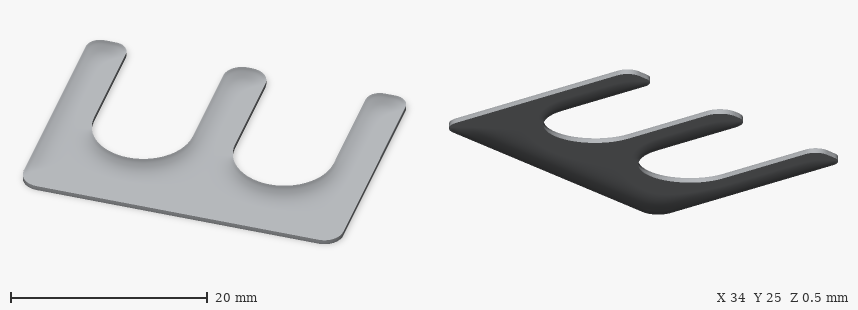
import cadquery as cq

length = 34.0
width = 25.0
thickness = 0.5

slot_width = 10.5
slot_pitch = 15.0
slot_radius = slot_width / 2
slot_centre_y = 0.0

base_corner_radius = 2.0
outer_tip_radius = 1.5
middle_tip_radius = 2.0

half_length = length / 2
half_width = width / 2
half_pitch = slot_pitch / 2
middle_finger_edge = half_pitch - slot_radius
outer_finger_edge = half_pitch + slot_radius
probe = 0.1


def make_plate():
    """Plain rectangular plate resting symmetrically about Z = 0."""
    return cq.Workplane("XY").box(length, width, thickness)


def cut_slot(body, centre_x):
    """Cut one round-ended slot that is open at the +Y edge."""
    round_end = cq.Workplane("XY").center(centre_x, slot_centre_y).circle(slot_radius)
    channel = (
        cq.Workplane("XY")
        .center(centre_x, (slot_centre_y + half_width) / 2)
        .rect(slot_width, half_width - slot_centre_y)
    )
    for profile in (round_end, channel):
        body = body.cut(profile.extrude(thickness, both=True))
    return body


def round_corner_pair(body, x, y, radius):
    """Round the two vertical edges at (-x, y) and (x, y)."""
    for corner_x in (-x, x):
        lower = (corner_x - probe, y - probe, -thickness)
        upper = (corner_x + probe, y + probe, thickness)
        body = body.edges(cq.selectors.BoxSelector(lower, upper)).edges("|Z").fillet(radius)
    return body


result = make_plate()
for slot_x in (-half_pitch, half_pitch):
    result = cut_slot(result, slot_x)

result = round_corner_pair(result, half_length, -half_width, base_corner_radius)
result = round_corner_pair(result, half_length, half_width, outer_tip_radius)
result = round_corner_pair(result, outer_finger_edge, half_width, outer_tip_radius)
result = round_corner_pair(result, middle_finger_edge, half_width, middle_tip_radius)